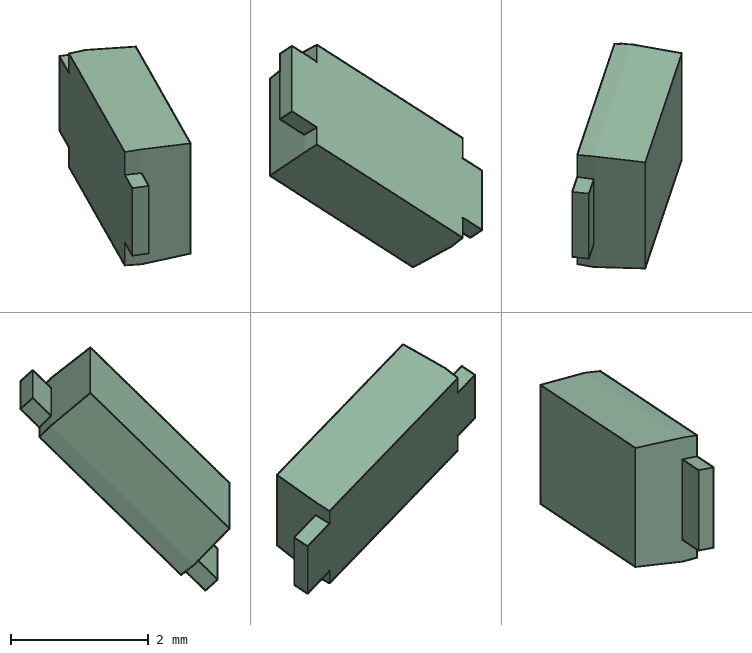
import cadquery as cq

total_length = 3.88
body_height = 1.93
total_depth = 1.0
lead_thickness = 0.25
draft_angle = 3.0

left_overhang = 0.495
right_overhang = 0.385
lead_height = 1.25
left_lead_length = 0.772
pad_length = 1.203
tab_length = 0.65
tab_height = 1.133

body_length = total_length - left_overhang - right_overhang
left_end = -body_length / 2 - left_overhang
right_end = body_length / 2 + right_overhang
tab_start = right_end - tab_length
pad_start = tab_start - pad_length


def make_body():
    """Two tapered halves that meet at the parting plane."""
    front_half = (
        cq.Workplane("XZ")
        .rect(body_length, body_height)
        .extrude(lead_thickness, taper=draft_angle)
    )
    back_half = (
        cq.Workplane("ZX")
        .rect(body_height, body_length)
        .extrude(total_depth - lead_thickness, taper=draft_angle)
    )
    return front_half.union(back_half)


def make_plate(start, length, height):
    """A flat plate from the front face back to the parting plane."""
    return (
        cq.Workplane("XZ")
        .center(start + length / 2, 0)
        .rect(length, height)
        .extrude(lead_thickness)
    )


left_lead = make_plate(left_end, left_lead_length, lead_height)
right_lead = make_plate(pad_start, pad_length, lead_height).union(
    make_plate(tab_start, tab_length, tab_height)
)

pocketed_body = make_body().cut(left_lead).cut(right_lead)
result = pocketed_body.union(left_lead, clean=False).union(right_lead, clean=False)